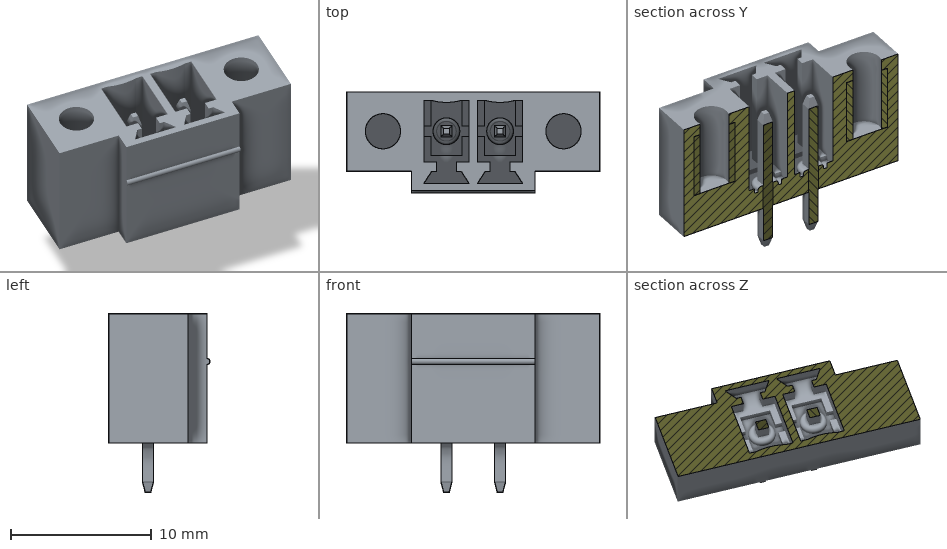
import cadquery as cq


pitch = 3.81
overall_width = 18.01
centre_width = pitch + 5.0
housing_height = 9.2
back_y = 2.8
flange_depth = 5.65
centre_depth = 7.0
flange_front_y = back_y - flange_depth
front_y = back_y - centre_depth

ridge_radius = 0.22
ridge_projection = 0.2
ridge_z = housing_height - 3.4

socket_floor_z = 2.0
socket_back_y = back_y - 0.6
well_width = 3.2
well_length = 4.4
neck_width = 1.4
dovetail_shoulder_width = 2.1
shoulder_y = back_y - 5.65
dovetail_front_y = back_y - 6.5
well_front_y = socket_back_y - well_length

recess_width = 2.23
recess_depth = 0.4
recess_wall = 0.49
recess_front_y = well_front_y + recess_wall
cross_slot_width = 0.76
recess_floor_z = socket_floor_z - recess_depth

bulge_rise = 0.15

collar_diameter = 1.9
collar_height = 0.4
collar_round = 0.25

pin_size = 0.8
pin_tip_size = 0.4
pin_taper_length = 0.75
pin_bottom_z = -3.5
pin_top_z = housing_height - 1.3

screw_spacing = 12.83
screw_diameter = 2.5
insert_diameter = 3.5
insert_top_z = housing_height - 0.95
insert_length = 5.0
insert_bottom_z = insert_top_z - insert_length

pin_positions = [-pitch / 2, pitch / 2]
screw_positions = [-screw_spacing / 2, screw_spacing / 2]


def block(x_min, x_max, y_min, y_max, z_min, z_max):
    """A box given by its limits."""
    size = (x_max - x_min, y_max - y_min, z_max - z_min)
    return cq.Workplane("XY").box(*size, centered=False).translate((x_min, y_min, z_min))


def cylinder(x, diameter, z_min, z_max):
    """An upright cylinder on the pin row."""
    return cq.Workplane("XY", origin=(x, 0, z_min)).circle(diameter / 2).extrude(z_max - z_min)


def make_ridge():
    """A bar along the front face, of which a round strip stands proud."""
    axis_y = front_y - ridge_projection + ridge_radius
    bar = cq.Workplane("YZ", origin=(-centre_width / 2, 0, 0)).center(axis_y, ridge_z)
    return bar.circle(ridge_radius).extrude(centre_width)


def make_socket(x):
    """The space of one socket, open at the top, with its floor recess."""
    half_well = well_width / 2
    half_neck = neck_width / 2
    half_shoulder = dovetail_shoulder_width / 2
    half_recess = recess_width / 2

    socket = (
        cq.Workplane("XY", origin=(x, 0, socket_floor_z))
        .moveTo(-half_recess, socket_back_y)
        .threePointArc((0, socket_back_y - bulge_rise), (half_recess, socket_back_y))
        .lineTo(half_well, socket_back_y)
        .lineTo(half_well, well_front_y)
        .lineTo(half_neck, well_front_y)
        .lineTo(half_neck, shoulder_y)
        .lineTo(half_shoulder, shoulder_y)
        .lineTo(half_well, dovetail_front_y)
        .lineTo(-half_well, dovetail_front_y)
        .lineTo(-half_shoulder, shoulder_y)
        .lineTo(-half_neck, shoulder_y)
        .lineTo(-half_neck, well_front_y)
        .lineTo(-half_well, well_front_y)
        .lineTo(-half_well, socket_back_y)
        .close()
        .extrude(housing_height - socket_floor_z)
    )

    recess = (
        cq.Workplane("XY", origin=(x, 0, recess_floor_z))
        .moveTo(-half_recess, socket_back_y)
        .threePointArc((0, socket_back_y - bulge_rise), (half_recess, socket_back_y))
        .lineTo(half_recess, recess_front_y)
        .lineTo(-half_recess, recess_front_y)
        .close()
        .extrude(recess_depth)
    )
    half_slot = cross_slot_width / 2
    cross_slot = block(x - half_well, x + half_well, -half_slot, half_slot, recess_floor_z, socket_floor_z)
    return socket.union(recess).union(cross_slot)


def make_collar(x):
    """A collar on the recess floor with a rounded upper rim."""
    collar = cylinder(x, collar_diameter, recess_floor_z, recess_floor_z + collar_height)
    return collar.faces(">Z").edges().fillet(collar_round)


def make_pin(x):
    """A square pin with a tapered tip at each end."""
    shank_bottom_z = pin_bottom_z + pin_taper_length
    shank_top_z = pin_top_z - pin_taper_length
    half_pin = pin_size / 2
    pin = block(x - half_pin, x + half_pin, -half_pin, half_pin, shank_bottom_z, shank_top_z)
    for shank_end_z, tip_z in [(shank_bottom_z, pin_bottom_z), (shank_top_z, pin_top_z)]:
        tip = (
            cq.Workplane("XY", origin=(x, 0, shank_end_z))
            .rect(pin_size, pin_size)
            .workplane(offset=tip_z - shank_end_z)
            .rect(pin_tip_size, pin_tip_size)
            .loft()
        )
        pin = pin.union(tip)
    return pin


def make_insert(x):
    """A sleeve whose bore continues the screw hole."""
    sleeve = cylinder(x, insert_diameter, insert_bottom_z, insert_top_z)
    return sleeve.cut(cylinder(x, screw_diameter, insert_bottom_z, insert_top_z))


pins = [make_pin(x) for x in pin_positions]
inserts = [make_insert(x) for x in screw_positions]


def make_housing():
    """The flanged body with sockets, screw holes and seats for the pins and inserts."""
    half_overall = overall_width / 2
    half_centre = centre_width / 2
    housing = block(-half_overall, half_overall, flange_front_y, back_y, 0, housing_height)
    housing = housing.union(block(-half_centre, half_centre, front_y, back_y, 0, housing_height))
    housing = housing.union(make_ridge())
    for x, pin in zip(pin_positions, pins):
        housing = housing.cut(make_socket(x)).union(make_collar(x)).cut(pin)
    for x, insert in zip(screw_positions, inserts):
        housing = housing.cut(cylinder(x, screw_diameter, insert_bottom_z, housing_height)).cut(insert)
    return housing


housing = make_housing()

result = cq.Compound.makeCompound([housing.val(), *[body.val() for body in pins + inserts]])